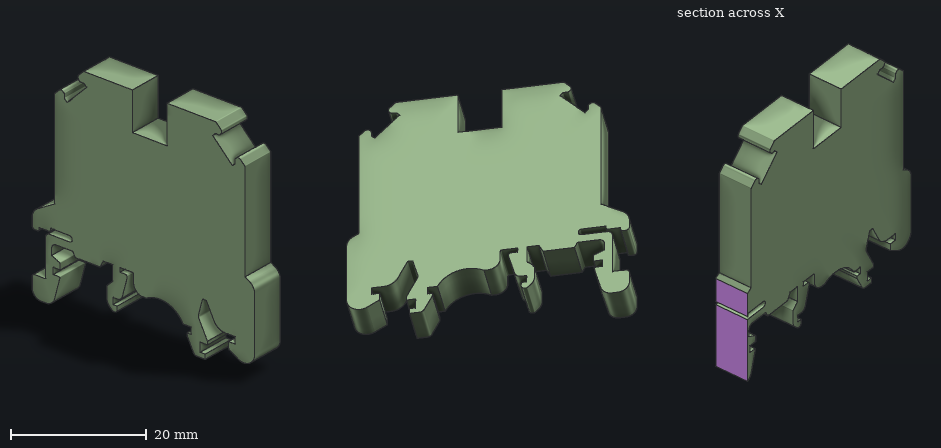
import cadquery as cq
import math


LENGTH = 42.5
THICKNESS = 6.0
HEIGHT = 41.0

BODY_CENTRE = 22.47
BODY_HALF_WIDTH = 18.2
BODY_LEFT = BODY_CENTRE - BODY_HALF_WIDTH
BODY_RIGHT = BODY_CENTRE + BODY_HALF_WIDTH
SHOULDER_Z = 17.05
SHOULDER_ANGLE = 30.0
UNDERSIDE_Z = 10.65

TOP_SLOT_WIDTH = 6.6
TOP_SLOT_DEPTH = 7.1

GROOVE_HEIGHT = 1.2
GROOVE_LOW = 4.04
GROOVE_MID = GROOVE_LOW + GROOVE_HEIGHT
GROOVE_HIGH = GROOVE_MID + GROOVE_HEIGHT

FOOT_RADIUS = 1.7
FOOT_TIP_X = 5.37
FOOT_SLOPE = 15.0
STEM_LEFT = 2.55
STEM_THICKNESS = 1.2
STEM_RIGHT = STEM_LEFT + STEM_THICKNESS
STEM_TOP = 11.7
SLIT_STEP_Z = 12.15
BRIDGE_THICKNESS = 1.35

ARCH_X = 24.4
ARCH_Z = 2.9
ARCH_RADIUS = 5.0

SHARP = 0.0
SMALL_ROUND = 0.3
SHOULDER_ROUND = 2.0


def left_foot_outside():
    """Outer face of the left foot and stem, up to the flexing slit."""
    heel_round = 0.5
    stem_round = 0.8
    return [
        (0, 0, FOOT_RADIUS),
        (0, GROOVE_LOW, heel_round),
        (STEM_LEFT, GROOVE_LOW, SHARP),
        (STEM_LEFT, STEM_TOP, stem_round),
    ]


def flexing_slit():
    """Slit that separates the stem from the left shoulder, with a rounded end."""
    end_x = 7.65
    roof_z = 12.77
    flat_end = 0.03
    end_round = (roof_z - STEM_TOP - flat_end) / 2
    step_x = 3.55
    return [
        (end_x, STEM_TOP, end_round),
        (end_x, roof_z, end_round),
        (step_x, roof_z, SHARP),
        (step_x, SLIT_STEP_Z, SMALL_ROUND),
    ]


def left_shoulder():
    """Lip below the left shoulder and the slope up to the body wall."""
    lip_width = 1.35
    lip_bottom = 11.52
    lip_round = 0.55
    slope_drop = BODY_LEFT * math.tan(math.radians(SHOULDER_ANGLE))
    return [
        (lip_width, SLIT_STEP_Z, SHARP),
        (lip_width, lip_bottom, SMALL_ROUND),
        (0, lip_bottom, lip_round),
        (0, SHOULDER_Z - slope_drop, SHOULDER_ROUND),
        (BODY_LEFT, SHOULDER_Z, SHARP),
    ]


def marker_recess(side):
    """Label recess cut at 45 degrees; side is -1 (left) or 1 (right).

    A lip with the same shape guards each end, mirrored about the recess diagonal.
    The corners run upwards from the body wall to the top edge.
    """
    floor_bottom_x = 15.78
    floor_bottom_z = 34.77
    floor_run = 3.75
    floor_top_x = floor_bottom_x - floor_run
    floor_top_z = floor_bottom_z + floor_run

    bevel = 0.5
    lip_face = 1.29
    nose_out = 1.15
    nose_reach = lip_face + nose_out - bevel
    face_round = 0.25
    nose_round = 0.6

    wall_z = floor_bottom_z + nose_reach - (BODY_HALF_WIDTH - floor_bottom_x - nose_out)
    top_x = floor_top_x + nose_reach - (HEIGHT - floor_top_z - nose_out)

    corners = [
        (BODY_HALF_WIDTH, wall_z, SMALL_ROUND),
        (floor_bottom_x + nose_out, floor_bottom_z + nose_reach, nose_round),
        (floor_bottom_x + bevel, floor_bottom_z + lip_face, face_round),
        (floor_bottom_x + bevel, floor_bottom_z + bevel, face_round),
        (floor_bottom_x, floor_bottom_z, SHARP),
        (floor_top_x, floor_top_z, SHARP),
        (floor_top_x + bevel, floor_top_z + bevel, face_round),
        (floor_top_x + lip_face, floor_top_z + bevel, face_round),
        (floor_top_x + nose_reach, floor_top_z + nose_out, nose_round),
        (top_x, HEIGHT, SMALL_ROUND),
    ]
    return [(BODY_CENTRE + side * x, z, radius) for x, z, radius in corners]


def top_slot():
    """Square screwdriver slot, open at the top edge."""
    left = BODY_CENTRE - TOP_SLOT_WIDTH / 2
    right = BODY_CENTRE + TOP_SLOT_WIDTH / 2
    floor_z = HEIGHT - TOP_SLOT_DEPTH
    return [
        (left, HEIGHT, SHARP),
        (left, floor_z, SHARP),
        (right, floor_z, SHARP),
        (right, HEIGHT, SHARP),
    ]


def right_jaw():
    """Right shoulder, rounded jaw and the rail groove on its inner side."""
    shoulder_drop = (LENGTH - BODY_RIGHT) * math.tan(math.radians(SHOULDER_ANGLE))
    lip_x = 37.5
    groove_x = 38.75
    lip_bottom = 4.0
    jaw_apex_z = 1.06
    jaw_round = 2.1
    gap_foot_x = 35.4
    gap_round = 2.4
    return [
        (BODY_RIGHT, SHOULDER_Z, SHARP),
        (LENGTH, SHOULDER_Z - shoulder_drop, SHOULDER_ROUND),
        (LENGTH, jaw_apex_z, jaw_round),
        (lip_x, lip_bottom, SHARP),
        (lip_x, GROOVE_MID, SHARP),
        (groove_x, GROOVE_MID, SHARP),
        (groove_x, GROOVE_HIGH, SHARP),
        (gap_foot_x, GROOVE_HIGH, gap_round),
    ]


def right_clip():
    """Relief gap, then the right clip with a release notch and a rail groove."""
    notch_x = 32.1
    groove_x = 30.35
    toe_bottom = 0.75
    notch_bottom = 1.65
    notch_top = 3.34
    toe_right = 33.05
    heel_x = 33.5
    heel_top = 3.95
    barb_x = 29.57
    barb_bottom = 3.6
    toe_left = 31.0
    toe_round = 0.8
    gap_left = 32.55
    gap_right = 33.3
    gap_round = 0.2
    waist_x = 31.7
    waist_z = 7.5
    waist_round = 0.8
    return [
        (gap_right, UNDERSIDE_Z, gap_round),
        (gap_left, UNDERSIDE_Z, gap_round),
        (waist_x, waist_z, waist_round),
        (heel_x, heel_top, SHARP),
        (heel_x, notch_top, SHARP),
        (notch_x, notch_top, SHARP),
        (notch_x, notch_bottom, SHARP),
        (toe_right, notch_bottom, SHARP),
        (toe_right, toe_bottom, SHARP),
        (toe_left, toe_bottom, toe_round),
        (barb_x, barb_bottom, SHARP),
        (barb_x, GROOVE_LOW, SHARP),
        (groove_x, GROOVE_LOW, SHARP),
        (groove_x, GROOVE_MID, SHARP),
    ]


def rounded_boss():
    """Boss left of the arch; its right part is shaped by the arch cut."""
    boss_left = 19.4
    boss_bottom = 7.2
    boss_round = 1.8
    return [
        (ARCH_X, GROOVE_MID, SHARP),
        (ARCH_X, boss_bottom, SHARP),
        (boss_left, boss_bottom, boss_round),
        (boss_left, UNDERSIDE_Z, SMALL_ROUND),
    ]


def middle_clip():
    """Middle clip with a small hook at its end."""
    neck_right = 16.8
    neck_left = 15.35
    back_x = 14.25
    groove_x = 15.45
    hook_x = 16.25
    hook_bottom = 2.9
    hook_round = 0.5
    hook_left = 15.37
    ledge_z = 9.88
    ledge_x = 18.3
    ledge_round = 0.4
    heel_x = 17.05
    heel_round = 1.0
    back_bottom = 4.02
    back_top = 6.78
    back_round = 1.8
    neck_bottom = 7.87
    return [
        (neck_right, UNDERSIDE_Z, SHARP),
        (neck_right, ledge_z, SHARP),
        (ledge_x, ledge_z, ledge_round),
        (heel_x, GROOVE_MID, heel_round),
        (groove_x, GROOVE_MID, SHARP),
        (groove_x, GROOVE_LOW, SHARP),
        (hook_x, GROOVE_LOW, SHARP),
        (hook_x, hook_bottom, hook_round),
        (hook_left, hook_bottom, SMALL_ROUND),
        (back_x, back_bottom, back_round),
        (back_x, back_top, SMALL_ROUND),
        (neck_left, neck_bottom, SHARP),
        (neck_left, UNDERSIDE_Z, SHARP),
    ]


def rail_pad():
    """Flat pad on the underside that bears on the rail."""
    pad_z = 9.45
    pad_left = 8.25
    pad_right = 12.97
    left_slope_run = 0.45
    right_slope_run = 0.63
    stem_fillet = 0.85
    bridge_bottom = STEM_TOP - BRIDGE_THICKNESS
    return [
        (pad_right + right_slope_run, UNDERSIDE_Z, SHARP),
        (pad_right, pad_z, SHARP),
        (pad_left, pad_z, SHARP),
        (pad_left - left_slope_run, bridge_bottom, SMALL_ROUND),
        (STEM_RIGHT, bridge_bottom, stem_fillet),
    ]


def left_foot_inside():
    """Inner side of the left foot with its tooth and rail groove."""
    groove_x = 4.05
    tooth_root_z = 8.32
    tooth_top_z = 7.57
    tooth_round = 0.15
    barb_round = 0.15
    slope_run = GROOVE_MID * math.tan(math.radians(FOOT_SLOPE))
    return [
        (STEM_RIGHT, tooth_root_z, SHARP),
        (FOOT_TIP_X, tooth_top_z, tooth_round),
        (FOOT_TIP_X, GROOVE_HIGH, SHARP),
        (groove_x, GROOVE_HIGH, SHARP),
        (groove_x, GROOVE_MID, SHARP),
        (FOOT_TIP_X, GROOVE_MID, barb_round),
        (FOOT_TIP_X - slope_run, 0, FOOT_RADIUS),
    ]


def round_corner(before, corner, after, radius):
    """Start, middle and end of the arc that rounds a corner with the given radius."""
    point = cq.Vector(corner[0], corner[1])
    to_before = (cq.Vector(before[0], before[1]) - point).normalized()
    to_after = (cq.Vector(after[0], after[1]) - point).normalized()
    half_angle = to_before.getAngle(to_after) / 2
    setback = radius / math.tan(half_angle)
    middle_reach = radius / math.sin(half_angle) - radius
    bisector = (to_before + to_after).normalized()
    arc = (point + to_before * setback, point + bisector * middle_reach, point + to_after * setback)
    return [(p.x, p.y) for p in arc]


def extrude_outline(corners):
    """Extrude a closed outline of (x, z, corner radius) entries over the thickness."""
    x, z, _ = corners[0]
    sketch = cq.Workplane("XZ").moveTo(x, z)
    followers = corners[2:] + corners[:1]
    for before, corner, after in zip(corners, corners[1:], followers):
        x, z, radius = corner
        if radius == SHARP:
            sketch = sketch.lineTo(x, z)
        else:
            start, middle, end = round_corner(before, corner, after, radius)
            sketch = sketch.lineTo(*start).threePointArc(middle, end)
    return sketch.close().extrude(THICKNESS / 2, both=True)


def arch():
    """Cylinder that hollows out the arch."""
    return cq.Workplane("XZ").center(ARCH_X, ARCH_Z).circle(ARCH_RADIUS).extrude(THICKNESS, both=True)


outline = (
    top_slot()
    + marker_recess(1)[::-1]
    + right_jaw()
    + right_clip()
    + rounded_boss()
    + middle_clip()
    + rail_pad()
    + left_foot_inside()
    + left_foot_outside()
    + flexing_slit()
    + left_shoulder()
    + marker_recess(-1)
)

result = extrude_outline(outline).cut(arch())